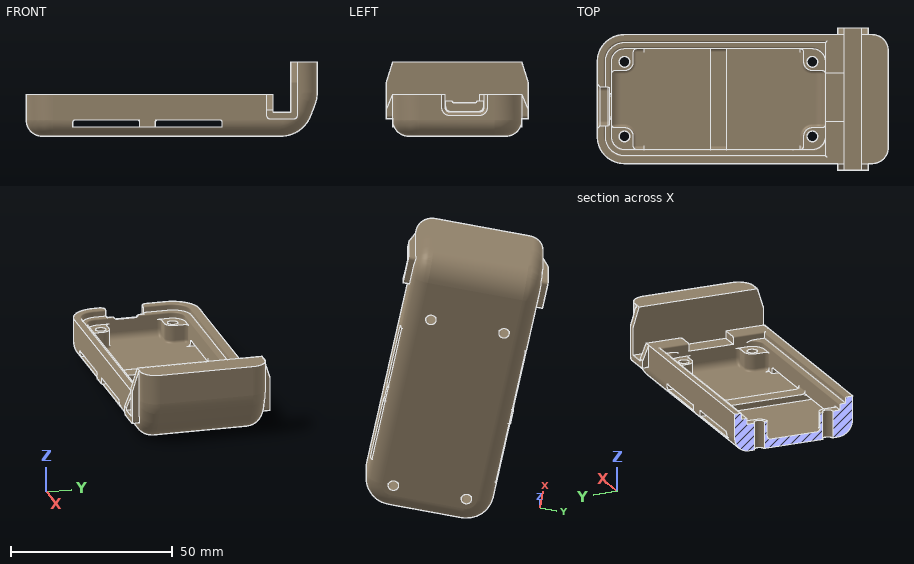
import cadquery as cq
import math

LENGTH = 90.0
WIDTH = 40.0
DECK_HEIGHT = 13.0
TOWER_HEIGHT = 23.0
FRONT_CORNER_RADIUS = 8.5
EDGE_RADIUS = 5.0
HEEL_RADIUS = 10.0
HEEL_START_X = 78.7
HEEL_END_Z = 13.5
HEEL_LEAN = math.radians(20.4)

SLOT_START_X = 76.3
SLOT_END_X = 81.7
SLOT_FLOOR_Z = 7.5
CRADLE_START_X = 74.3
CRADLE_END_X = 83.8
CRADLE_WIDTH = 44.0
CRADLE_BASE_Z = 5.4
CRADLE_EDGE_RADIUS = 1.0
DECK_TAPER_Z = 8.1
TOWER_TAPER_Z = 16.6

RIM_OFFSET = 2.5
CAVITY_OFFSET = 4.4
CAVITY_END_X = 70.6
LEDGE_Z = 11.0
FLOOR_Z = 3.0
LIP_RADIUS = 0.5
END_FILLET = 3.0
SMALL_FILLET = 1.1

HOLE_DIAMETER = 3.2
BOSS_RADIUS = 2.7
BOSS_TOP_Z = 9.0

WINDOW_HEIGHT = 2.1
WINDOW_SPANS = ((14.5, 35.0), (40.0, 60.5))
WINDOW_CORNER_RADIUS = 0.5

RECESS_FLOOR_Z = 10.5
RECESS_WIDTH = 14.9
RECESS_CENTER_Y = 0.5

NOTCH_CENTER_Y = -2.25
NOTCH_WIDTH = 12.0
NOTCH_FLOOR_Z = 7.6
NOTCH_DEPTH = 3.3
NOTCH_STEP = 0.2
NOTCH_STEP_DEPTH = 3.8
NOTCH_RADIUS = 1.35
NOTCH_FLARE = 1.1
FLARE_DEPTH = 0.9
DIP_TOP_WIDTH = 8.0
DIP_DEPTH = 0.7

POCKET_HALF_WIDTH = WIDTH / 2 - RIM_OFFSET
CAVITY_HALF_WIDTH = WIDTH / 2 - CAVITY_OFFSET
CAVITY_RADIUS = FRONT_CORNER_RADIUS - CAVITY_OFFSET
BOSS_XS = (FRONT_CORNER_RADIUS, CAVITY_END_X - CAVITY_RADIUS)
BOSS_Y = WIDTH / 2 - FRONT_CORNER_RADIUS

OVERRUN = 0.9
SELECT_MARGIN = 0.1


def block(x0, x1, y0, y1, z0, z1):
    return cq.Workplane("XY").box(x1 - x0, y1 - y0, z1 - z0, centered=False).translate((x0, y0, z0))


def make_shell():
    """Side profile with a leaning, rounded heel, rounded along its outside edges."""
    low_center = (HEEL_START_X, HEEL_RADIUS)
    high_center = (LENGTH - HEEL_RADIUS, HEEL_END_Z)

    def on_heel(center, angle):
        return (center[0] + HEEL_RADIUS * math.cos(angle), center[1] + HEEL_RADIUS * math.sin(angle))

    shell = (
        cq.Workplane("XZ", origin=(0, WIDTH / 2, 0))
        .lineTo(HEEL_START_X, 0)
        .threePointArc(on_heel(low_center, -math.pi / 4), on_heel(low_center, -HEEL_LEAN))
        .lineTo(*on_heel(high_center, -HEEL_LEAN))
        .threePointArc(on_heel(high_center, -HEEL_LEAN / 2), (LENGTH, HEEL_END_Z))
        .lineTo(LENGTH, TOWER_HEIGHT)
        .lineTo(0, TOWER_HEIGHT)
        .close()
        .extrude(WIDTH)
    )
    shell = shell.edges("|Z and <X").fillet(FRONT_CORNER_RADIUS)
    shell = shell.faces("<Z").edges("<Y").fillet(EDGE_RADIUS)
    above_deck = block(-OVERRUN, SLOT_START_X, -WIDTH, WIDTH, DECK_HEIGHT, TOWER_HEIGHT + OVERRUN)
    return shell.cut(above_deck)


def make_cradle():
    """U-shaped channel whose ends stand out past both sides of the shell."""
    half = CRADLE_WIDTH / 2

    def tapered_wall(x0, x1, taper_z, top_z):
        return (
            cq.Workplane("YZ", origin=(x0, 0, 0))
            .polyline([
                (-half, CRADLE_BASE_Z), (half, CRADLE_BASE_Z), (half, taper_z),
                (WIDTH / 2, top_z), (-WIDTH / 2, top_z), (-half, taper_z),
            ])
            .close()
            .extrude(x1 - x0)
        )

    base = block(CRADLE_START_X, CRADLE_END_X, -half, half, CRADLE_BASE_Z, SLOT_FLOOR_Z)
    deck_side = tapered_wall(CRADLE_START_X, SLOT_START_X, DECK_TAPER_Z, DECK_HEIGHT)
    tower_side = tapered_wall(SLOT_END_X, CRADLE_END_X, TOWER_TAPER_Z, TOWER_HEIGHT)
    cradle = base.union(deck_side).union(tower_side)
    return cradle.faces("<Z").edges("|Y").fillet(CRADLE_EDGE_RADIUS)


def make_slot():
    """Open channel between deck and tower, right across the part."""
    half = CRADLE_WIDTH / 2
    return block(SLOT_START_X, SLOT_END_X, -half, half, SLOT_FLOOR_Z, TOWER_HEIGHT + OVERRUN)


def make_lid_pocket():
    """Pocket above the ledge, rounded at the front corners and square at the deck."""
    pocket = block(RIM_OFFSET, CAVITY_END_X, -POCKET_HALF_WIDTH, POCKET_HALF_WIDTH, LEDGE_Z, DECK_HEIGHT)
    return pocket.edges("|Z and <X").fillet(FRONT_CORNER_RADIUS - RIM_OFFSET)


def flat_loop(start_x, half_width, z):
    """Selector for level edges inside a pocket outline that ends at the deck."""
    return cq.selectors.BoxSelector(
        (start_x - SELECT_MARGIN, -half_width - SELECT_MARGIN, z - SELECT_MARGIN),
        (CAVITY_END_X + SELECT_MARGIN, half_width + SELECT_MARGIN, z + SELECT_MARGIN),
        boundingbox=True,
    )


def round_rim(shell):
    """Round the top edge of the lid pocket."""
    return shell.edges(flat_loop(RIM_OFFSET, POCKET_HALF_WIDTH, DECK_HEIGHT)).fillet(LIP_RADIUS)


def make_boss(center_x, side_y):
    """Corner block around one screw hole, rounded at its free corner and reaching past the walls."""
    toward_x = 1 if center_x < LENGTH / 2 else -1
    free_x = center_x + toward_x * BOSS_RADIUS
    free_y = side_y * (BOSS_Y - BOSS_RADIUS)
    wall_x = center_x - toward_x * FRONT_CORNER_RADIUS
    wall_y = side_y * WIDTH / 2
    boss = block(
        min(free_x, wall_x), max(free_x, wall_x), min(free_y, wall_y), max(free_y, wall_y), 0, BOSS_TOP_Z
    )
    free_corner = cq.selectors.NearestToPointSelector((free_x, free_y, BOSS_TOP_Z / 2))
    return boss.edges(free_corner).fillet(BOSS_RADIUS)


def cavity_prism(bottom_z):
    """Rounded rectangle of the cavity, from the given level up to the ledge."""
    return block(
        CAVITY_OFFSET, CAVITY_END_X, -CAVITY_HALF_WIDTH, CAVITY_HALF_WIDTH, bottom_z, LEDGE_Z
    ).edges("|Z").fillet(CAVITY_RADIUS)


def make_cavity():
    """Room below the ledge, with four corner bosses in it and rounded junctions."""
    cavity = cavity_prism(FLOOR_Z)
    for center_x in BOSS_XS:
        for side_y in (-1, 1):
            cavity = cavity.cut(make_boss(center_x, side_y))
    cavity = cavity.faces("<Z").edges("<X or >X").fillet(END_FILLET)

    small_edges = cavity.faces("<Z").edges("not(<X or >X)")
    junction_z = (FLOOR_Z + BOSS_TOP_Z) / 2
    for center_x in BOSS_XS:
        toward_x = 1 if center_x < LENGTH / 2 else -1
        for side_y in (-1, 1):
            at_side_wall = (center_x + toward_x * BOSS_RADIUS, side_y * CAVITY_HALF_WIDTH, junction_z)
            at_end_wall = (center_x - toward_x * CAVITY_RADIUS, side_y * (BOSS_Y - BOSS_RADIUS), junction_z)
            for point in (at_side_wall, at_end_wall):
                small_edges = small_edges.add(
                    cavity.edges("|Z").edges(cq.selectors.NearestToPointSelector(point))
                )
    return cavity.newObject(small_edges.vals()).fillet(SMALL_FILLET)


def make_ledge_rounding():
    """Ring-shaped cutter that rounds the ledge where it drops into the cavity."""
    ledge_width = CAVITY_OFFSET - RIM_OFFSET
    end_x = CAVITY_END_X + ledge_width
    above_ledge = block(RIM_OFFSET, end_x, -POCKET_HALF_WIDTH, POCKET_HALF_WIDTH, LEDGE_Z, DECK_HEIGHT)
    ledge_edge = flat_loop(CAVITY_OFFSET, CAVITY_HALF_WIDTH, LEDGE_Z)
    cutter = above_ledge.union(cavity_prism(BOSS_TOP_Z)).edges(ledge_edge).fillet(LIP_RADIUS)
    below_ledge = block(0, CAVITY_END_X, -WIDTH, WIDTH, 0, LEDGE_Z)
    return cutter.intersect(below_ledge)


def make_hole(center_x, center_y):
    return cq.Workplane("XY").center(center_x, center_y).circle(HOLE_DIAMETER / 2).extrude(DECK_HEIGHT)


def make_window(start_x, end_x):
    """Slot at floor level through both side walls, rounded at its upper corners."""
    window = block(start_x, end_x, -WIDTH, WIDTH, FLOOR_Z, FLOOR_Z + WINDOW_HEIGHT)
    return window.edges("|Y and >Z").fillet(WINDOW_CORNER_RADIUS)


def make_floor_relief():
    """Square floor edge between the last window and the bosses beside it, where no fillet remains."""
    start_x = WINDOW_SPANS[-1][1]
    end_x = BOSS_XS[-1] - BOSS_RADIUS - SMALL_FILLET
    return block(
        start_x, end_x, -CAVITY_HALF_WIDTH, CAVITY_HALF_WIDTH, FLOOR_Z, FLOOR_Z + SMALL_FILLET
    )


def make_rib():
    """Rib between the windows, as high as they are, with square ends flush with the shell sides."""
    start_x = WINDOW_SPANS[0][1]
    end_x = WINDOW_SPANS[1][0]
    top_z = FLOOR_Z + WINDOW_HEIGHT
    bar = block(start_x, end_x, -WIDTH / 2, WIDTH / 2, FLOOR_Z, top_z)
    wall_y = CAVITY_HALF_WIDTH
    blend = block(start_x, end_x, -wall_y, wall_y, top_z, top_z + SMALL_FILLET)
    hollow = block(start_x, end_x, -wall_y, wall_y, top_z, DECK_HEIGHT)
    return bar.union(blend.cut(hollow.faces("<Z").edges("|X").fillet(SMALL_FILLET)))


def make_recess():
    return block(
        CAVITY_END_X, SLOT_START_X,
        RECESS_CENTER_Y - RECESS_WIDTH / 2, RECESS_CENTER_Y + RECESS_WIDTH / 2,
        RECESS_FLOOR_Z, DECK_HEIGHT,
    )


def make_notch():
    """Plug opening, flared outside and slightly stepped at the back, ending at a thin cavity wall."""

    def opening(grow):
        half = NOTCH_WIDTH / 2 + grow
        top_z = DECK_HEIGHT + 2 * NOTCH_FLARE
        floor_z = NOTCH_FLOOR_Z - grow
        radius = NOTCH_RADIUS + max(grow, 0)
        bend = radius * (1 - math.sqrt(0.5))
        return (
            cq.Workplane("YZ", origin=(0, NOTCH_CENTER_Y, 0))
            .moveTo(-half, top_z)
            .lineTo(-half, floor_z + radius)
            .threePointArc((-half + bend, floor_z + bend), (-half + radius, floor_z))
            .lineTo(half - radius, floor_z)
            .threePointArc((half - bend, floor_z + bend), (half, floor_z + radius))
            .lineTo(half, top_z)
            .close()
        )

    channel = opening(0).extrude(NOTCH_DEPTH)
    step = opening(-NOTCH_STEP).extrude(NOTCH_STEP_DEPTH)
    flare_angle = math.degrees(math.atan(NOTCH_FLARE / FLARE_DEPTH))
    flare = opening(NOTCH_FLARE).extrude(FLARE_DEPTH, taper=flare_angle)
    return channel.union(step).union(flare)


def make_dip():
    """Shallow 45-degree dip in the thin wall behind the notch."""
    top_half = DIP_TOP_WIDTH / 2
    bottom_half = top_half - DIP_DEPTH
    return (
        cq.Workplane("YZ", origin=(0, NOTCH_CENTER_Y, 0))
        .polyline([
            (-top_half, LEDGE_Z), (top_half, LEDGE_Z),
            (bottom_half, LEDGE_Z - DIP_DEPTH), (-bottom_half, LEDGE_Z - DIP_DEPTH),
        ])
        .close()
        .extrude(CAVITY_OFFSET + LIP_RADIUS)
    )


result = make_shell().union(make_cradle()).cut(make_slot())
result = round_rim(result.cut(make_lid_pocket()))
result = result.cut(make_cavity()).cut(make_ledge_rounding())
for window_start, window_end in WINDOW_SPANS:
    result = result.cut(make_window(window_start, window_end))
result = result.cut(make_floor_relief()).union(make_rib())
for hole_x in BOSS_XS:
    for side in (-1, 1):
        result = result.cut(make_hole(hole_x, side * BOSS_Y))
result = result.cut(make_recess()).cut(make_notch()).cut(make_dip())